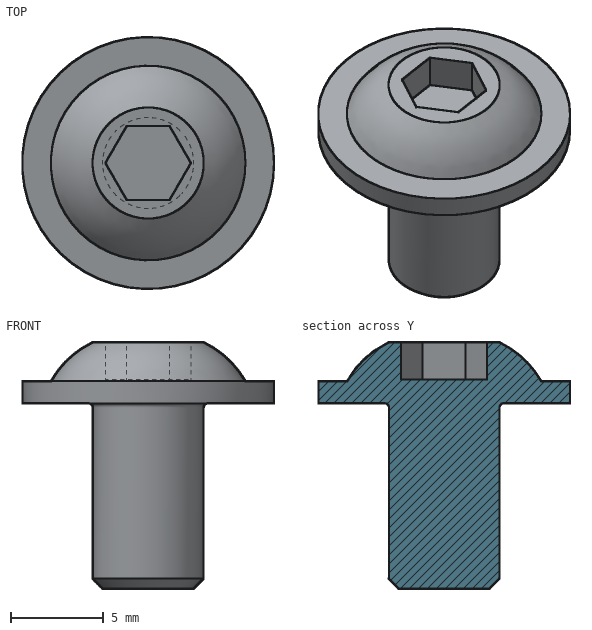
import cadquery as cq
import math

flange_diameter = 13.6
flange_thickness = 1.21
head_height = 3.3
dome_base_diameter = 10.5
dome_top_diameter = 6.0
dome_bulge = 0.23

shank_diameter = 6.0
shank_length = 10.0
tip_chamfer = 0.55
neck_fillet = 0.22

hex_across_flats = 4.0
hex_depth = 2.0

flange_radius = flange_diameter / 2
dome_base_radius = dome_base_diameter / 2
dome_top_radius = dome_top_diameter / 2
shank_radius = shank_diameter / 2

dome_width = dome_base_radius - dome_top_radius
dome_height = head_height - flange_thickness
dome_chord = math.hypot(dome_width, dome_height)
dome_middle = (
    (dome_base_radius + dome_top_radius) / 2 + dome_bulge * dome_height / dome_chord,
    (head_height + flange_thickness) / 2 + dome_bulge * dome_width / dome_chord,
)

neck_arc_offset = neck_fillet * (1 - math.sqrt(0.5))
neck_middle = (shank_radius + neck_arc_offset, -neck_arc_offset)

body = (
    cq.Workplane("XZ")
    .moveTo(0, -shank_length)
    .lineTo(shank_radius - tip_chamfer, -shank_length)
    .lineTo(shank_radius, -shank_length + tip_chamfer)
    .lineTo(shank_radius, -neck_fillet)
    .threePointArc(neck_middle, (shank_radius + neck_fillet, 0))
    .lineTo(flange_radius, 0)
    .lineTo(flange_radius, flange_thickness)
    .lineTo(dome_base_radius, flange_thickness)
    .threePointArc(dome_middle, (dome_top_radius, head_height))
    .lineTo(0, head_height)
    .close()
    .revolve(360, (0, 0, 0), (0, 1, 0))
)

hex_across_corners = hex_across_flats / math.cos(math.pi / 6)
socket = (
    cq.Workplane("XY")
    .workplane(offset=head_height - hex_depth)
    .polygon(6, hex_across_corners)
    .extrude(hex_depth)
)

result = body.cut(socket)